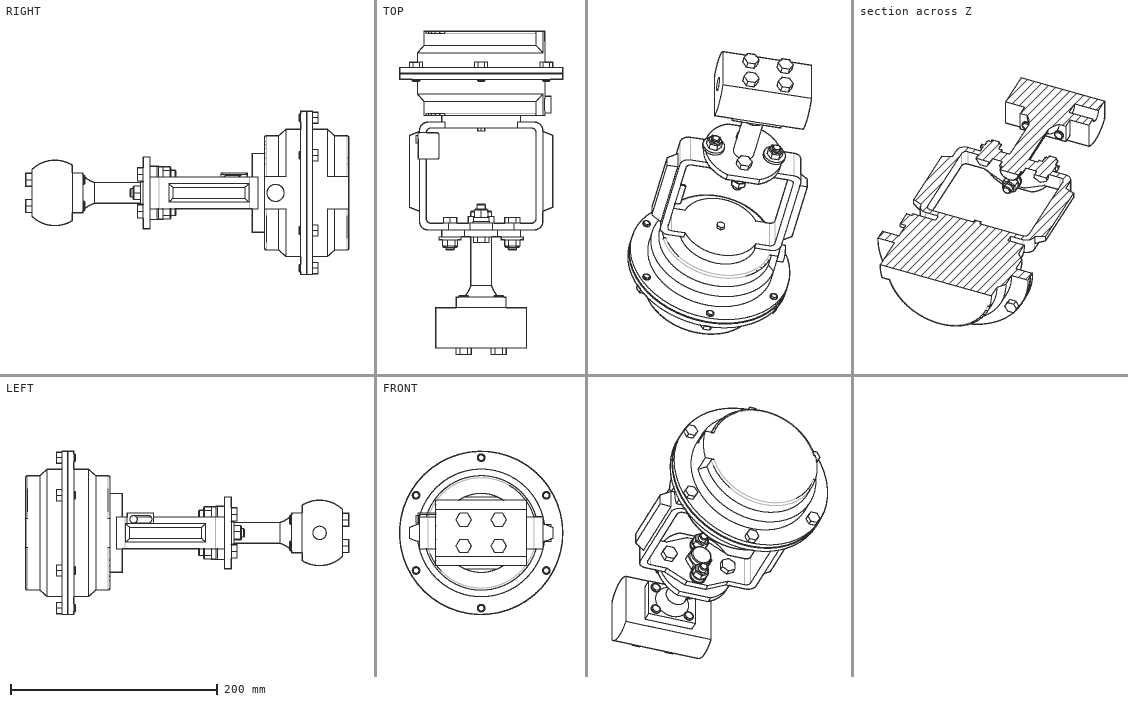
import cadquery as cq
import math


flange_diameter = 158.75
flange_radius = flange_diameter / 2
flange_half_thickness = 5.8
joint_groove_width = 0.8
joint_groove_depth = 0.4
shoulder_radius = 62.0
shoulder_y = 20.0
neck_radius = 55.6
neck_y = 27.2
casing_end_y = 41.0
casing_edge_fillet = 2.0
port_pad_half_width = 15.8
square_edge_half_width = 14.2
fitting_radius = 8.3
fitting_end_x = 67.9
fitting_y = -30.2
boss_radius = 38.4
boss_end_y = -53.0
spindle_width = 7.0
spindle_end_y = -56.0

casing_bolt_count = 6
casing_bolt_circle_radius = 73.0
casing_head_width = 11.0
casing_head_height = 5.2
casing_tip_radius = 3.7

yoke_half_width = 60.0
yoke_strap_height = 31.2
yoke_arm_thickness = 6.8
yoke_top_thickness = 5.9
yoke_foot_thickness = 6.7
yoke_foot_y = -152.0
yoke_outer_bend = 8.5
yoke_inner_bend = 4.5
lug_tip_half_length = 10.8
lug_tip_half_height = 26.0
lug_root_half_length = 31.7

rib_height = 9.7
rib_center_y = -95.0
rib_root_length = 77.6
rib_tip_length = 69.8
rib_root_width = 18.0
rib_tip_width = 10.6

label_thickness = 1.5
label_outer_x = -61.2
label_inner_x = -40.7
label_start_y = -57.5
label_end_y = -83.2
label_top_z = 19.5
label_bottom_z = 9.1
label_corner = 1.5
label_slot_depth = 0.6
label_slot_radius = 3.6
label_slot_z = 13.2
label_pin_y = -63.9
label_slot_end_y = -78.0
label_pin_end_x = -63.2

stem_flange_radius = 38.4
stem_flange_half_height = 34.9
stem_flange_thickness = 6.7
m8_width = 13.0
m8_radius = 4.1
m8_head_height = 5.6
side_bolt_x = 30.2
side_washer_radius = 10.8
side_washer_thickness = 2.8
side_nut_height = 7.2
side_nut_twist = 10.0
side_stud_length = 12.8
stem_bolt_z = 18.0
stem_washer_radius = 8.0
stem_washer_height = 1.7
spring_washer_radius = 7.6
spring_washer_height = 3.9
stem_nut_height = 8.0
stem_stud_length = 18.6
nut_chamfer = 1.0
stud_chamfer = 0.9

stem_radius = 10.2
stem_top_y = -133.3
stem_groove_chamfer = 1.0
lock_nut_corner_diameter = 25.2
lock_nut_height = 6.5
flare_start_y = -206.0
flare_mid_y = -212.0
flare_mid_radius = 12.9
flare_end_radius = 17.0
saddle_top_y = -217.2
saddle_length = 48.4
saddle_height = 39.0
clamp_length = 88.2
clamp_radius = 31.9
clamp_center_y = -244.4
clamp_top_y = -227.4
clamp_bottom_y = -266.7
clamp_bore_radius = 6.5
clamp_bore_depth = 25.0
clamp_bolt_x = 17.0
clamp_bolt_z = 12.75
overall_length = 313.87
clamp_head_height = overall_length - casing_end_y + clamp_bottom_y
clamp_tip_radius = 4.7

corner_up_twist = 30.0

overlap = 0.5

tip_height = 1.9

yoke_foot_inner_y = yoke_foot_y + yoke_foot_thickness
stem_flange_y = yoke_foot_y - stem_flange_thickness


def y_plane(y):
    """Sketch plane with local x = X, local y = Z and its normal along -Y."""
    return cq.Workplane("XZ", origin=(0, y, 0))


def rod(radius, y_from, y_to, x=0, z=0):
    """Round bar along Y; y_from is the higher level."""
    return y_plane(y_from).center(x, z).circle(radius).extrude(y_from - y_to)


def hexagon(width_across_flats, y_from, y_to, x=0, z=0, twist=0):
    """Hexagonal prism along Y; corners point along X when twist is 0."""
    corner_diameter = width_across_flats / math.cos(math.pi / 6)
    prism = y_plane(y_from).polygon(6, corner_diameter).extrude(y_from - y_to)
    return prism.rotate((0, 0, 0), (0, 1, 0), twist).translate((x, 0, z))


def box(x_from, x_to, y_from, y_to, z_from, z_to):
    size = (abs(x_to - x_from), abs(y_to - y_from), abs(z_to - z_from))
    center = ((x_from + x_to) / 2, (y_from + y_to) / 2, (z_from + z_to) / 2)
    return cq.Workplane("XY").box(*size).translate(center)


def bolt_tip(radius, y, x, z, direction):
    """Cone-ended bolt tip standing out of the face at y."""
    height = tip_height + overlap
    tip = cq.Workplane("XZ").circle(radius).extrude(height).faces("<Y").chamfer(tip_height / 2)
    if direction > 0:
        tip = tip.rotate((0, 0, 0), (1, 0, 0), 180)
    return tip.translate((x, y - direction * overlap, z))


def casing_profile():
    groove_floor = flange_radius - joint_groove_depth
    upper_half = [
        (groove_floor, joint_groove_width / 2),
        (flange_radius, joint_groove_width / 2),
        (flange_radius, flange_half_thickness),
        (shoulder_radius, flange_half_thickness),
        (shoulder_radius, shoulder_y),
        (neck_radius, neck_y),
        (neck_radius, casing_end_y),
    ]
    lower_half = [(r, -y) for r, y in reversed(upper_half)]
    return [(0, casing_end_y)] + upper_half[::-1] + lower_half[::-1] + [(0, -casing_end_y)]


def round_nosed_bar(radius, half_width):
    """Bar of full casing length from the axis out to a cylinder of this radius on the +X side."""
    flank_x = math.sqrt(radius**2 - half_width**2)
    return (
        y_plane(casing_end_y)
        .moveTo(0, -half_width)
        .lineTo(flank_x, -half_width)
        .threePointArc((radius, 0), (flank_x, half_width))
        .lineTo(0, half_width)
        .close()
        .extrude(2 * casing_end_y)
    )


def make_casing():
    body = cq.Workplane("XY").polyline(casing_profile()).close().revolve(360, (0, 0), (0, 1))
    body = body.faces("<Y or >Y").edges().fillet(casing_edge_fillet)

    pads = round_nosed_bar(shoulder_radius, port_pad_half_width)
    square_edges = round_nosed_bar(neck_radius, square_edge_half_width).mirror("YZ")

    fitting = (
        cq.Workplane("YZ", origin=(neck_radius, fitting_y, 0))
        .circle(fitting_radius)
        .extrude(fitting_end_x - neck_radius)
    )
    boss = rod(boss_radius, 0, boss_end_y)
    spindle = hexagon(spindle_width, 0, spindle_end_y, twist=corner_up_twist)
    ported_pads = pads.union(fitting)
    return body.union(ported_pads).union(square_edges).union(boss).union(spindle)


def add_casing_bolts(part):
    for i in range(casing_bolt_count):
        angle = math.radians(90 + i * 360 / casing_bolt_count)
        x = casing_bolt_circle_radius * math.cos(angle)
        z = casing_bolt_circle_radius * math.sin(angle)
        head_top = flange_half_thickness + casing_head_height
        head_seat = flange_half_thickness - overlap
        part = part.union(hexagon(casing_head_width, head_top, head_seat, x, z))
        part = part.union(bolt_tip(casing_tip_radius, -flange_half_thickness, x, z, -1))
    return part


def make_yoke():
    top_y = boss_end_y + yoke_top_thickness
    half_strap = yoke_strap_height / 2
    inner_x = yoke_half_width - yoke_arm_thickness
    outer = box(-yoke_half_width, yoke_half_width, yoke_foot_y, top_y, -half_strap, half_strap)
    window = box(-inner_x, inner_x, yoke_foot_inner_y, boss_end_y, -half_strap, half_strap)
    strap = outer.edges("|Z").fillet(yoke_outer_bend).cut(window.edges("|Z").fillet(yoke_inner_bend))

    lug = (
        y_plane(yoke_foot_inner_y)
        .polyline([
            (-lug_root_half_length, -half_strap),
            (-lug_tip_half_length, -lug_tip_half_height),
            (lug_tip_half_length, -lug_tip_half_height),
            (lug_root_half_length, -half_strap),
            (lug_root_half_length, half_strap),
            (lug_tip_half_length, lug_tip_half_height),
            (-lug_tip_half_length, lug_tip_half_height),
            (-lug_root_half_length, half_strap),
        ])
        .close()
        .extrude(yoke_foot_thickness)
    )
    rib = (
        cq.Workplane("YZ", origin=(yoke_half_width, rib_center_y, 0))
        .rect(rib_root_length, rib_root_width)
        .workplane(offset=rib_height)
        .rect(rib_tip_length, rib_tip_width)
        .loft()
    )
    return strap.union(lug).union(rib).union(rib.mirror("YZ"))


def make_label():
    top_plate = box(label_outer_x, label_inner_x, label_start_y, label_end_y,
                    label_top_z - label_thickness, label_top_z)
    top_plate = top_plate.edges("|Z and >X").chamfer(label_corner)
    side_plate = box(label_outer_x, label_outer_x + label_thickness, label_start_y, label_end_y,
                     label_bottom_z, label_top_z)

    slot_length = label_pin_y - label_slot_end_y + 2 * label_slot_radius
    slot_center_y = (label_pin_y + label_slot_end_y) / 2
    slot = (
        cq.Workplane("YZ", origin=(label_outer_x, slot_center_y, label_slot_z))
        .slot2D(slot_length, 2 * label_slot_radius)
        .extrude(label_slot_depth)
    )
    pin = (
        cq.Workplane("YZ", origin=(label_pin_end_x, label_pin_y, label_slot_z))
        .circle(label_slot_radius)
        .extrude(label_outer_x + label_thickness - label_pin_end_x)
    )
    return top_plate.union(side_plate).cut(slot).union(pin)


def make_stem_flange():
    height_limits = box(-stem_flange_radius, stem_flange_radius, stem_flange_y, yoke_foot_y,
                        -stem_flange_half_height, stem_flange_half_height)
    return rod(stem_flange_radius, yoke_foot_y, stem_flange_y).intersect(height_limits)


def add_side_bolts(part):
    """Bolts beside the stem: heads inside the yoke, washers and nuts below the flange."""
    head_top = yoke_foot_inner_y + m8_head_height
    washer_y = stem_flange_y - side_washer_thickness
    nut_y = washer_y - side_nut_height
    stud_y = stem_flange_y - side_stud_length
    for side in (-1, 1):
        x = side * side_bolt_x
        head_twist = corner_up_twist if side < 0 else 0
        nut_twist = side_nut_twist if side < 0 else 0
        nut = hexagon(m8_width, washer_y, nut_y, x, twist=nut_twist).faces("<Y").chamfer(nut_chamfer)
        stud = rod(m8_radius, washer_y, stud_y, x).faces("<Y").chamfer(stud_chamfer)
        part = part.union(hexagon(m8_width, head_top, yoke_foot_inner_y, x, twist=head_twist))
        part = part.union(rod(side_washer_radius, stem_flange_y, washer_y, x))
        part = part.union(nut).union(stud)
    return part


def add_stem_flange_bolts(part):
    """Bolts above and below the stem: heads on the flange, washers and nuts inside the yoke."""
    washer_y = yoke_foot_inner_y + stem_washer_height
    spring_y = washer_y + spring_washer_height
    nut_y = spring_y + stem_nut_height
    stud_y = yoke_foot_inner_y + stem_stud_length
    for z in (-stem_bolt_z, stem_bolt_z):
        nut = hexagon(m8_width, nut_y, spring_y, z=z, twist=corner_up_twist)
        nut = nut.faces(">Y").chamfer(nut_chamfer)
        stud = rod(m8_radius, stud_y, yoke_foot_inner_y, z=z).faces(">Y").chamfer(stud_chamfer)
        part = part.union(hexagon(m8_width, stem_flange_y, stem_flange_y - m8_head_height, z=z))
        part = part.union(rod(stem_washer_radius, washer_y, yoke_foot_inner_y, z=z))
        part = part.union(rod(spring_washer_radius, spring_y, washer_y, z=z))
        part = part.union(nut).union(stud)
    return part


def make_stem():
    profile = (
        cq.Workplane("XY")
        .moveTo(0, stem_top_y)
        .lineTo(stem_radius - stem_groove_chamfer, stem_top_y)
        .lineTo(stem_radius, stem_top_y - stem_groove_chamfer)
        .lineTo(stem_radius, flare_start_y)
        .threePointArc((flare_mid_radius, flare_mid_y), (flare_end_radius, saddle_top_y))
        .lineTo(0, saddle_top_y)
        .close()
    )
    lock_nut_width = lock_nut_corner_diameter * math.cos(math.pi / 6)
    lock_nut = hexagon(lock_nut_width, yoke_foot_inner_y + lock_nut_height, yoke_foot_inner_y)
    return profile.revolve(360, (0, 0), (0, 1)).union(lock_nut)


def make_clamp():
    def x_bar(radius, length):
        start = (-clamp_length / 2, clamp_center_y, 0)
        return cq.Workplane("YZ", origin=start).circle(radius).extrude(length)

    limits = box(-clamp_length / 2, clamp_length / 2, clamp_bottom_y, clamp_top_y,
                 -clamp_radius, clamp_radius)
    bore = x_bar(clamp_bore_radius, clamp_bore_depth)
    clamp = x_bar(clamp_radius, clamp_length).intersect(limits).cut(bore)
    saddle = box(-saddle_length / 2, saddle_length / 2, clamp_top_y, saddle_top_y,
                 -saddle_height / 2, saddle_height / 2)
    clamp = clamp.union(saddle)
    head_end_y = clamp_bottom_y - clamp_head_height
    for x in (-clamp_bolt_x, clamp_bolt_x):
        for z in (-clamp_bolt_z, clamp_bolt_z):
            clamp = clamp.union(hexagon(m8_width, clamp_bottom_y, head_end_y, x, z))
            clamp = clamp.union(bolt_tip(clamp_tip_radius, saddle_top_y, x, z, 1))
    return clamp


actuator = add_casing_bolts(make_casing())
frame = make_yoke().union(make_label()).union(make_stem_flange())
frame = add_stem_flange_bolts(add_side_bolts(frame))
result = actuator.union(frame).union(make_stem()).union(make_clamp())